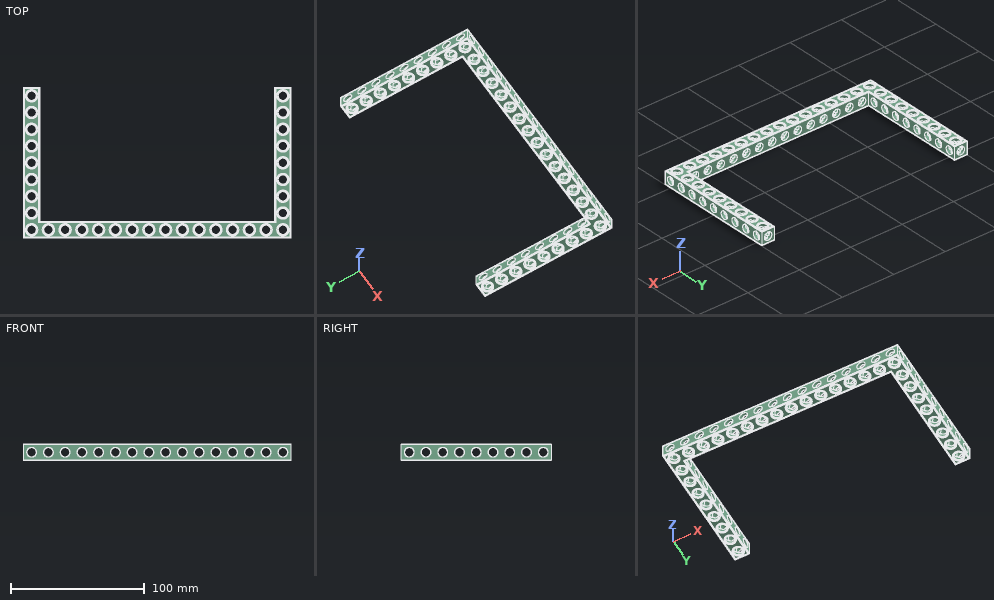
import cadquery as cq

length = 200.0
bar_cells = 16
arm_cells = 9
hole_diameter = 7.0

step_height = 0.15
outline_insets = [0.95, 0.3]
counterbore_diameters = [9.2, 7.5]

pitch = length / bar_cells
depth = arm_cells * pitch
half_pitch = pitch / 2


def cell_centres(cells):
    """Centres of the cells along a bar, measured from its outer end."""
    return [half_pitch + index * pitch for index in range(cells)]


bar_centres = cell_centres(bar_cells)
arm_centres = cell_centres(arm_cells)


def frame_slab(inset, end_gap):
    """U-shaped slab open towards +Y, drawn in by inset all round and by end_gap at top and bottom."""
    outer_right = length - inset
    inner_left = pitch - inset
    inner_right = length - inner_left
    arm_end = depth - inset
    return (
        cq.Workplane("XY")
        .workplane(offset=end_gap)
        .moveTo(inset, inset)
        .lineTo(outer_right, inset)
        .lineTo(outer_right, arm_end)
        .lineTo(inner_right, arm_end)
        .lineTo(inner_right, inner_left)
        .lineTo(inner_left, inner_left)
        .lineTo(inner_left, arm_end)
        .lineTo(inset, arm_end)
        .close()
        .extrude(pitch - 2 * end_gap)
    )


def stepped_frame():
    """Full-width core with narrower, taller slabs forming the stepped rims."""
    body = frame_slab(0, len(outline_insets) * step_height)
    for step, inset in enumerate(outline_insets):
        body = body.union(frame_slab(inset, step * step_height))
    return body


def drill_along_y(body):
    """Horizontal holes through the long bar; the end ones run the length of the arms."""
    points = [(x, half_pitch) for x in bar_centres]
    holes = cq.Workplane("XZ").pushPoints(points).circle(hole_diameter / 2).extrude(-depth)
    return body.cut(holes)


def drill_along_x(body):
    """Horizontal holes through both arms; the corner one runs the length of the long bar."""
    points = [(y, half_pitch) for y in arm_centres]
    holes = cq.Workplane("YZ").pushPoints(points).circle(hole_diameter / 2).extrude(length)
    return body.cut(holes)


def drill_along_z(body):
    """Vertical holes in every cell, with stepped counterbores at both ends."""
    points = [(x, half_pitch) for x in bar_centres]
    for x in (bar_centres[0], bar_centres[-1]):
        points += [(x, y) for y in arm_centres[1:]]

    bottom = cq.Workplane("XY").pushPoints(points)
    top = cq.Workplane("XY").workplane(offset=pitch).pushPoints(points)
    body = body.cut(bottom.circle(hole_diameter / 2).extrude(pitch))
    for step, diameter in enumerate(counterbore_diameters, start=1):
        bore_depth = step * step_height
        body = body.cut(bottom.circle(diameter / 2).extrude(bore_depth))
        body = body.cut(top.circle(diameter / 2).extrude(-bore_depth))
    return body


result = stepped_frame()
result = drill_along_y(result)
result = drill_along_x(result)
result = drill_along_z(result)